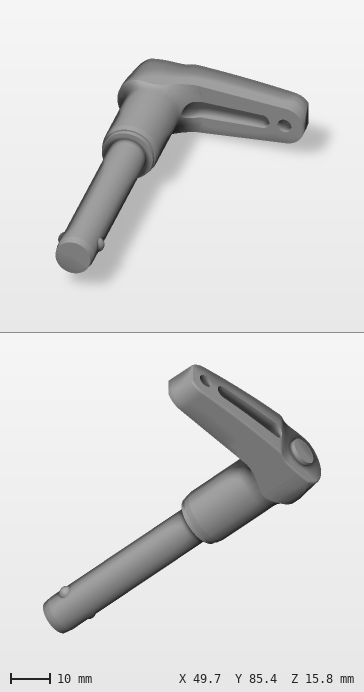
import cadquery as cq
import math


shaft_radius = 5.0
shaft_length = 49.5
shaft_tip_radius = 4.65
shaft_tip_length = 2.3
ball_radius = 1.95
ball_reach = 6.1
ball_y = -41.75

collar_radius = 6.8
collar_height = 1.3
sleeve_radius = 7.4
sleeve_edge_radius = 7.15
sleeve_edge_top = 3.0

overall_length = 85.4
button_top = overall_length - shaft_length
button_radius = 3.65

overall_width = 15.82
head_half_width = overall_width / 2
head_end_x = -9.97
head_end_radius = 7.83
head_arc_end_x = -3.2
head_flat_start_x = -0.97
head_flat_end_x = 0.57
lever_tip_x = 39.86
lever_tip_radius = 5.25
lever_tip_center_x = lever_tip_x - lever_tip_radius

head_top = 34.4
head_bottom = 26.1
underside_bend_x = 11.0
rise_start_x = 4.0
crest_x = 7.9
crest_y = 35.5
lever_back_mid = (26.2, 34.2)
lever_end_top = (38.75, 32.5)
lever_end_bottom_y = 24.5
tip_corner_radius = 0.8
crest_radius = 2.0
top_edge_radius = 0.5

head_cone_top_radius = 8.5
head_cone_bottom_y = 25.0
head_cone_bottom_radius = -head_end_x

flare_radius = 6.0
flare_outer_radius = sleeve_radius + flare_radius
flare_start = head_bottom - flare_radius

slot_start_x = 7.8
slot_start_radius = 2.45
slot_end_x = 30.5
slot_end_radius = 1.93
hole_x = 34.6
hole_radius = 1.85


def plan_sketch():
    """Workplane at Y = 0 with local axes X and Z; a negative extrusion goes toward +Y."""
    return cq.Workplane("XZ")


def taper_tangent(x, z):
    """Tangent point on the lever tip circle for a line from the outer point (x, z)."""
    dx = x - lever_tip_center_x
    distance = math.hypot(dx, z)
    angle = math.atan2(z, dx) - math.acos(lever_tip_radius / distance)
    tangent_x = lever_tip_center_x + lever_tip_radius * math.cos(angle)
    return tangent_x, lever_tip_radius * math.sin(angle)


def handle_plan():
    """Teardrop outline of the handle, extruded along the pin axis."""
    arc_offset = head_arc_end_x - (head_end_x + head_end_radius)
    arc_end_z = math.sqrt(head_end_radius**2 - arc_offset**2)
    tangent_x, tangent_z = taper_tangent(head_flat_end_x, head_half_width)
    return (
        plan_sketch()
        .moveTo(head_arc_end_x, -arc_end_z)
        .threePointArc((head_end_x, 0), (head_arc_end_x, arc_end_z))
        .tangentArcPoint((head_flat_start_x, head_half_width), relative=False)
        .lineTo(head_flat_end_x, head_half_width)
        .lineTo(tangent_x, tangent_z)
        .threePointArc((lever_tip_x, 0), (tangent_x, -tangent_z))
        .lineTo(head_flat_end_x, -head_half_width)
        .lineTo(head_flat_start_x, -head_half_width)
        .tangentArcPoint((head_arc_end_x, -arc_end_z), relative=False)
        .close()
        .extrude(-button_top)
    )


def handle_side():
    """Side profile of the handle: flat head, raised crest and a lever that droops to its tip."""
    profile = (
        cq.Workplane("XY")
        .moveTo(head_end_x, head_bottom)
        .lineTo(head_end_x, head_top)
        .lineTo(rise_start_x, head_top)
        .tangentArcPoint((crest_x, crest_y), relative=False)
        .threePointArc(lever_back_mid, lever_end_top)
        .lineTo(lever_tip_x, lever_end_bottom_y)
        .lineTo(underside_bend_x, head_bottom)
        .close()
        .extrude(overall_width, both=True)
    )
    tip_corner = cq.selectors.NearestToPointSelector((lever_tip_x, lever_end_bottom_y, 0))
    crest = cq.selectors.NearestToPointSelector((crest_x, crest_y, 0))
    return profile.edges(tip_corner).fillet(tip_corner_radius).edges(crest).fillet(crest_radius)


def flare():
    """Solid of revolution that blends the sleeve into the underside of the handle."""
    diagonal = flare_radius * math.sqrt(0.5)
    return (
        cq.Workplane("XY")
        .moveTo(0, flare_start)
        .lineTo(sleeve_radius, flare_start)
        .threePointArc(
            (flare_outer_radius - diagonal, flare_start + diagonal),
            (flare_outer_radius, head_bottom),
        )
        .lineTo(0, head_bottom)
        .close()
        .revolve(360, (0, 0, 0), (0, 1, 0))
    )


def head_taper_cutter():
    """Everything left of the pin axis that lies outside the tapered head end."""
    outer = 2 * head_cone_bottom_radius
    return (
        cq.Workplane("XY")
        .moveTo(-head_cone_bottom_radius, head_cone_bottom_y)
        .lineTo(-head_cone_top_radius, head_top)
        .lineTo(-head_cone_top_radius, overall_length)
        .lineTo(-outer, overall_length)
        .lineTo(-outer, head_cone_bottom_y)
        .close()
        .revolve(180, (0, 0, 0), (0, 1, 0))
        .rotate((0, 0, 0), (0, 1, 0), -90)
    )


def lever_openings():
    """Tapered slot with round ends and the round hole near the tip."""
    start_center = slot_start_x + slot_start_radius
    end_center = slot_end_x - slot_end_radius
    slot = (
        plan_sketch()
        .moveTo(start_center, slot_start_radius)
        .lineTo(end_center, slot_end_radius)
        .threePointArc((slot_end_x, 0), (end_center, -slot_end_radius))
        .lineTo(start_center, -slot_start_radius)
        .threePointArc((slot_start_x, 0), (start_center, slot_start_radius))
        .close()
        .extrude(-overall_length)
    )
    hole = plan_sketch().center(hole_x, 0).circle(hole_radius).extrude(-overall_length)
    return slot.union(hole)


def round_top_edges(body):
    """Small rounding along the upper rim of the handle."""
    rim_y = lever_end_top[1] - top_edge_radius
    rim_band = cq.selectors.BoxSelector(
        (2 * head_end_x, rim_y, -overall_width), (2 * lever_tip_x, overall_length, overall_width)
    )
    return body.edges(rim_band).edges("not |Z").fillet(top_edge_radius)


def handle():
    """Complete lever handle."""
    plan = handle_plan()
    head_taper = head_taper_cutter()
    lever = round_top_edges(handle_side().intersect(plan).cut(head_taper))
    underside = flare().intersect(plan).cut(head_taper)
    return lever.union(underside).cut(lever_openings())


def pin():
    """Shaft, sleeve and button turned about the pin axis."""
    return (
        cq.Workplane("XY")
        .moveTo(0, -shaft_length)
        .lineTo(shaft_tip_radius, -shaft_length)
        .lineTo(shaft_radius, -shaft_length + shaft_tip_length)
        .lineTo(shaft_radius, 0)
        .lineTo(collar_radius, 0)
        .lineTo(collar_radius, collar_height)
        .lineTo(sleeve_edge_radius, collar_height)
        .lineTo(sleeve_radius, sleeve_edge_top)
        .lineTo(sleeve_radius, flare_start)
        .lineTo(button_radius, flare_start)
        .lineTo(button_radius, button_top)
        .lineTo(0, button_top)
        .close()
        .revolve(360, (0, 0, 0), (0, 1, 0))
    )


def locking_balls():
    """Two balls that stand out of the shaft on opposite sides."""
    center_x = ball_reach - ball_radius
    return (
        cq.Workplane("XY")
        .pushPoints([(-center_x, ball_y), (center_x, ball_y)])
        .sphere(ball_radius)
    )


result = handle().union(pin()).union(locking_balls())